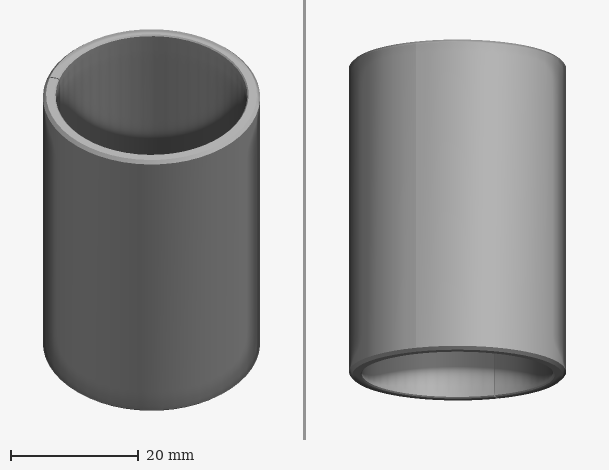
import cadquery as cq

length = 50.0
outer_diameter = 34.0
inner_diameter = 30.0
slit_width = 0.2
outer_chamfer = 0.5
inner_chamfer = 0.2

outer_radius = outer_diameter / 2
inner_radius = inner_diameter / 2
half_length = length / 2


def make_sleeve():
    """Revolve the wall section, chamfered on all four edges, about Z."""
    profile = [
        (inner_radius + inner_chamfer, -half_length),
        (outer_radius - outer_chamfer, -half_length),
        (outer_radius, -half_length + outer_chamfer),
        (outer_radius, half_length - outer_chamfer),
        (outer_radius - outer_chamfer, half_length),
        (inner_radius + inner_chamfer, half_length),
        (inner_radius, half_length - inner_chamfer),
        (inner_radius, -half_length + inner_chamfer),
    ]
    section = cq.Workplane("XZ").polyline(profile).close()
    return section.revolve(360, (0, 0, 0), (0, 1, 0))


def make_slit():
    """Full-length cutter through the -X wall, with one slit face on the plane Y = 0."""
    cutter = cq.Workplane("XY").box(outer_diameter, slit_width, length)
    return cutter.translate((-outer_radius, slit_width / 2, 0))


result = make_sleeve().cut(make_slit())